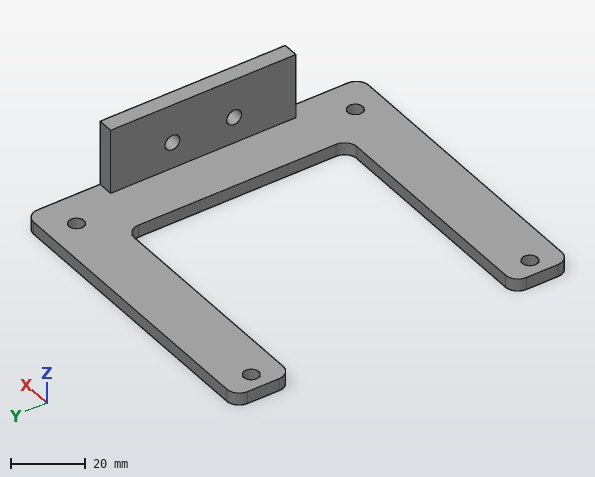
import cadquery as cq

length = 99.0
width = 108.5
plate_thickness = 4.0
arm_width = 18.2
opening_depth = 78.0
corner_radius = 4.0

total_height = 25.0
wall_thickness = 5.0
wall_width = 60.0

hole_diameter = 4.8
plate_hole_end_offset = 5.8
plate_hole_spacing_x = 82.2
plate_hole_spacing_y = 90.3
wall_hole_spacing = 20.0
wall_hole_height = 12.5


def make_plate():
    opening_width = width - 2 * arm_width
    blank = cq.Workplane("XY").box(length, width, plate_thickness, centered=(False, True, False))
    opening = cq.Workplane("XY").box(
        opening_depth, opening_width, plate_thickness, centered=(False, True, False)
    )
    plate = blank.cut(opening).edges("|Z").fillet(corner_radius)
    hole_center_x = plate_hole_end_offset + plate_hole_spacing_x / 2
    holes = (
        cq.Workplane("XY")
        .center(hole_center_x, 0)
        .rect(plate_hole_spacing_x, plate_hole_spacing_y, forConstruction=True)
        .vertices()
        .circle(hole_diameter / 2)
        .extrude(plate_thickness)
    )
    return plate.cut(holes)


def make_wall():
    wall_start_x = length - wall_thickness
    wall = (
        cq.Workplane("XY")
        .box(wall_thickness, wall_width, total_height, centered=(False, True, False))
        .translate((wall_start_x, 0, 0))
    )
    half_spacing = wall_hole_spacing / 2
    holes = (
        cq.Workplane("YZ", origin=(wall_start_x, 0, 0))
        .pushPoints([(-half_spacing, wall_hole_height), (half_spacing, wall_hole_height)])
        .circle(hole_diameter / 2)
        .extrude(wall_thickness)
    )
    return wall.cut(holes)


result = make_plate().union(make_wall())